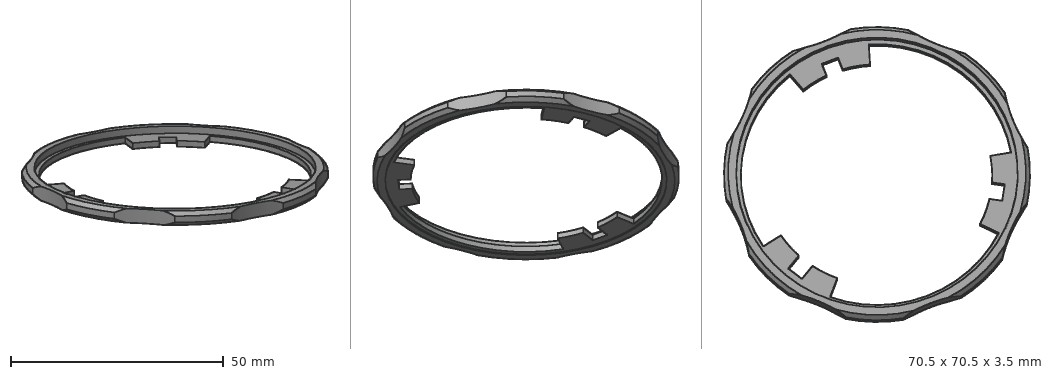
import cadquery as cq
import math

height = 3.5
outer_radius = 72.0 / 2
edge_chamfer = 1.0
bore_radius = 66.2 / 2
ledge_radius = 32.0
ledge_bottom = 0.3
ledge_top = height / 2
ledge_thickness = ledge_top - ledge_bottom

scallop_count = 8
overall_width = 70.5
scallop_floor_radius = 34.5
scallop_flat_width = 0.8

tab_inner_radius = 27.1
tab_half_angle = 18.2
slot_width = 4.1
slot_floor = 30.05
deep_slot_floor = 31.0
slot_floor_by_tab_angle = {30: deep_slot_floor, 150: slot_floor, 270: slot_floor}


def cylinder(radius, length, base=0.0):
    return cq.Workplane("XY").workplane(offset=base).circle(radius).extrude(length)


def make_ring():
    """Chamfered ring with a wide bore above and below a narrower inner ledge."""
    blank = cylinder(outer_radius, height).edges().chamfer(edge_chamfer)
    return (
        blank
        .cut(cylinder(ledge_radius, height))
        .cut(cylinder(bore_radius, ledge_bottom))
        .cut(cylinder(bore_radius, height - ledge_top, ledge_top))
    )


def make_scallop():
    """Cutter on the +X side: two shallow arcs, tangent to a short flat between them."""
    half_flat = scallop_flat_width / 2
    corner_x = overall_width / 2
    corner_y = math.sqrt(outer_radius**2 - corner_x**2)
    depth = corner_x - scallop_floor_radius
    run = corner_y - half_flat
    arc_radius = (run**2 + depth**2) / (2 * depth)
    end_angle = 1.5 * math.asin(run / arc_radius)

    def arc_point(angle, side):
        x = scallop_floor_radius + arc_radius * (1 - math.cos(angle))
        y = half_flat + arc_radius * math.sin(angle)
        return (x, side * y)

    return (
        cq.Workplane("XY")
        .moveTo(scallop_floor_radius, -half_flat)
        .lineTo(scallop_floor_radius, half_flat)
        .threePointArc(arc_point(end_angle / 2, 1), arc_point(end_angle, 1))
        .lineTo(*arc_point(end_angle, -1))
        .threePointArc(arc_point(end_angle / 2, -1), (scallop_floor_radius, -half_flat))
        .close()
        .extrude(height)
    )


def make_tab(floor_distance):
    """Slotted tab on the +X side, level with the ledge and as thick."""
    root_radius = (ledge_radius + bore_radius) / 2
    half_angle = math.radians(tab_half_angle)

    def polar(radius, angle):
        return (radius * math.cos(angle), radius * math.sin(angle))

    tab = (
        cq.Workplane("XY")
        .moveTo(*polar(tab_inner_radius, -half_angle))
        .lineTo(*polar(root_radius, -half_angle))
        .threePointArc((root_radius, 0), polar(root_radius, half_angle))
        .lineTo(*polar(tab_inner_radius, half_angle))
        .threePointArc((tab_inner_radius, 0), polar(tab_inner_radius, -half_angle))
        .close()
        .extrude(ledge_thickness)
    )
    slot = (
        cq.Workplane("XY")
        .box(floor_distance, slot_width, ledge_thickness, centered=(False, True, False))
    )
    return tab.cut(slot)


def turned(shape, angle):
    return shape.rotate((0, 0, 0), (0, 0, 1), angle)


result = make_ring()

scallop = make_scallop()
for index in range(scallop_count):
    result = result.cut(turned(scallop, index * 360 / scallop_count))

for tab_angle, floor_distance in slot_floor_by_tab_angle.items():
    result = result.union(turned(make_tab(floor_distance), tab_angle).translate((0, 0, ledge_bottom)))